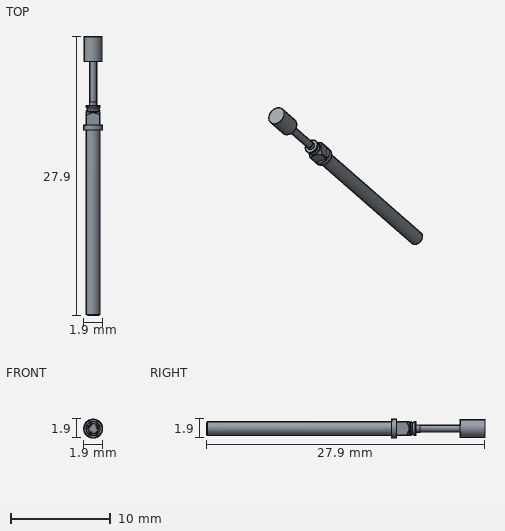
import cadquery as cq


barrel_radius = 0.70
barrel_tip_y = -19.05
tip_face_radius = 0.50
tip_chamfer_length = 0.10
collar_radius = 0.95
collar_length = 0.50

square_width = 2 * barrel_radius
square_length = 1.25
square_lead_length = collar_radius - barrel_radius

groove_radius = 0.58
rim_radius = barrel_radius
ridge_y = 1.42
notch_y = (square_length + ridge_y) / 2
notch_radius = 0.62
groove_y = 1.60
rim_base_y = 1.82
neck_end_y = 1.95

guide_radius = 0.38
guide_end_y = 2.34
stem_radius = 0.36
head_radius = 0.90
head_length = 2.50
head_end_y = 8.85


def make_barrel_and_collar():
    """Round barrel with a chamfered tip, ending in the collar."""
    return (
        cq.Workplane("YZ")
        .moveTo(barrel_tip_y, 0)
        .lineTo(barrel_tip_y, tip_face_radius)
        .lineTo(barrel_tip_y + tip_chamfer_length, barrel_radius)
        .lineTo(-collar_length, barrel_radius)
        .lineTo(-collar_length, collar_radius)
        .lineTo(0, collar_radius)
        .lineTo(0, 0)
        .close()
        .revolve(360, (0, 0, 0), (1, 0, 0))
    )


def make_square_section():
    """Square block whose corners are trimmed by a cylinder with a conical lead-in."""
    round_blank = (
        cq.Workplane("YZ")
        .lineTo(0, collar_radius)
        .lineTo(square_length - square_lead_length, collar_radius)
        .lineTo(square_length, collar_radius - square_lead_length)
        .lineTo(square_length, 0)
        .close()
        .revolve(360, (0, 0, 0), (1, 0, 0))
    )
    square_bar = cq.Workplane("XY").box(
        square_width, square_length, square_width, centered=(True, False, True)
    )
    return round_blank.intersect(square_bar)


def make_neck_and_plunger():
    """Grooved neck, guide step, slim stem and the cylindrical head."""
    head_base_y = head_end_y - head_length
    return (
        cq.Workplane("YZ")
        .moveTo(square_length, 0)
        .lineTo(square_length, barrel_radius)
        .lineTo(notch_y, notch_radius)
        .lineTo(ridge_y, rim_radius)
        .lineTo(groove_y, groove_radius)
        .lineTo(rim_base_y, rim_radius)
        .lineTo(neck_end_y, rim_radius)
        .lineTo(neck_end_y, guide_radius)
        .lineTo(guide_end_y, guide_radius)
        .lineTo(guide_end_y, stem_radius)
        .lineTo(head_base_y, stem_radius)
        .lineTo(head_base_y, head_radius)
        .lineTo(head_end_y, head_radius)
        .lineTo(head_end_y, 0)
        .close()
        .revolve(360, (0, 0, 0), (1, 0, 0))
    )


result = make_barrel_and_collar().union(make_square_section()).union(make_neck_and_plunger())